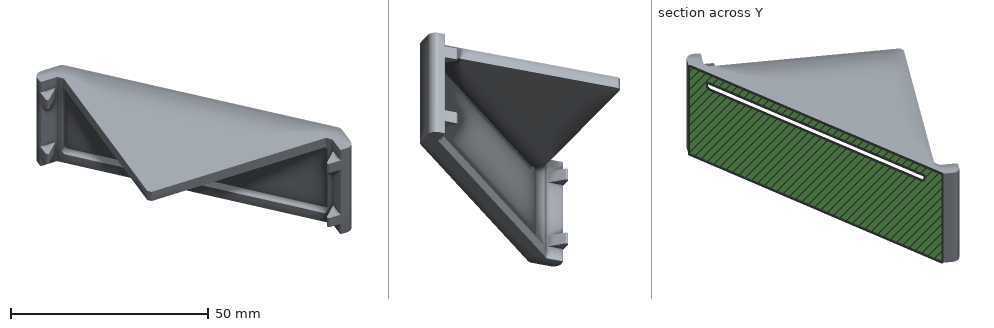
import cadquery as cq
import math

length = 84.5
depth = 39.6
height = 28.0
half_length = length / 2

wall_thickness = 5.0
plate_thickness = 3.0
plate_tip_half_width = 0.6
plate_root_half_width = plate_tip_half_width + depth - wall_thickness

shoulder_x = 37.5
outer_radius = 2.0
arm_root_x = 37.0
arm_end_x = 40.3
arm_end_y = -(wall_thickness + arm_end_x - arm_root_x)
arm_end_radius = 0.3
elbow_x = half_length + outer_radius * (math.sqrt(2) - 1)
elbow_y = shoulder_x - elbow_x

hook_width = 3.0
hook_offset = 3.5
hook_inner_x = 37.3
hook_root_y = -(wall_thickness + hook_inner_x - arm_root_x)
hook_tip_y = arm_end_y - (arm_end_x - hook_inner_x)
hook_tip_radius = 0.5
hook_embed = 0.4

pocket_half_width = 35.7
pocket_bottom = 2.9
pocket_depth = 2.4
pocket_radius = 1.1
slot_half_width = 34.0
slot_height = 1.7
slot_depth = 0.5
slot_radius = 0.8

plate_bottom = height - plate_thickness


def mirrored(body):
    """Return the body joined with its mirror image across x = 0."""
    return body.union(body.mirror("YZ"))


def make_wall():
    """Back wall with the angled arm at each end."""
    right_half = (
        cq.Workplane("XY")
        .polyline([
            (0, 0),
            (shoulder_x, 0),
            (elbow_x, elbow_y),
            (arm_end_x, arm_end_y),
            (arm_root_x, -wall_thickness),
            (0, -wall_thickness),
        ])
        .close()
        .extrude(height)
    )
    for x, y, radius in [
        (shoulder_x, 0, outer_radius),
        (elbow_x, elbow_y, outer_radius),
        (arm_end_x, arm_end_y, arm_end_radius),
    ]:
        corner = cq.selectors.NearestToPointSelector((x, y, height / 2))
        right_half = right_half.edges("|Z").edges(corner).fillet(radius)
    return mirrored(right_half)


def make_plate():
    """Triangular plate flush with the top of the wall."""
    return (
        cq.Workplane("XY")
        .workplane(offset=plate_bottom)
        .polyline([
            (-plate_root_half_width, -wall_thickness),
            (-plate_tip_half_width, -depth),
            (plate_tip_half_width, -depth),
            (plate_root_half_width, -wall_thickness),
        ])
        .close()
        .extrude(plate_thickness)
    )


def make_hooks(bottom):
    """Pair of wedge hooks, slightly embedded in the arms."""
    hook = (
        cq.Workplane("XY")
        .workplane(offset=bottom)
        .polyline([
            (arm_end_x, arm_end_y),
            (arm_end_x + hook_embed, arm_end_y + hook_embed),
            (hook_inner_x + hook_embed, hook_root_y + hook_embed),
            (hook_inner_x, hook_root_y),
            (hook_inner_x, hook_tip_y),
        ])
        .close()
        .extrude(hook_width)
        .edges("|Z and <Y")
        .fillet(hook_tip_radius)
    )
    return mirrored(hook)


def make_recess(half_width, bottom, top, front_y, recess_depth):
    """Block that cuts a recess from front_y towards the back."""
    return (
        cq.Workplane("XY")
        .box(2 * half_width, recess_depth, top - bottom, centered=(True, False, False))
        .translate((0, front_y, bottom))
    )


pocket = make_recess(
    pocket_half_width, pocket_bottom, plate_bottom, -wall_thickness, pocket_depth
).edges("|Y").fillet(pocket_radius)
slot = make_recess(
    slot_half_width, plate_bottom - slot_height, plate_bottom, pocket_depth - wall_thickness, slot_depth
).edges("|Y and <Z").fillet(slot_radius)

result = make_wall().union(make_plate()).cut(pocket).cut(slot)
for hook_bottom in (hook_offset, height - hook_offset - hook_width):
    result = result.union(make_hooks(hook_bottom))